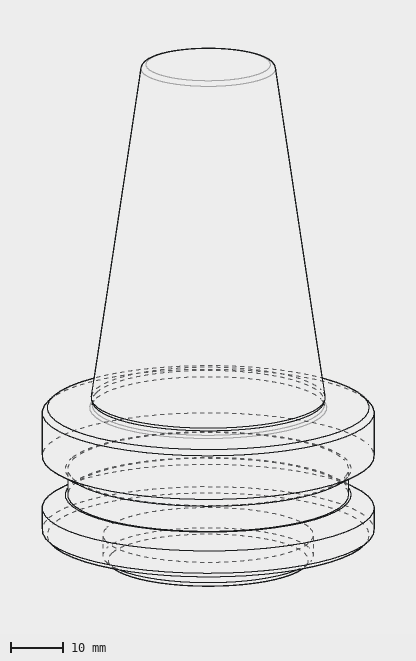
import cadquery as cq
import math

total_height = 97.4
edge_chamfer = 1.0
tip_fillet = 1.0

stub_radius = 20.0
stub_height = 5.0

flange_radius = 63.0 / 2
flange_top = 30.0
groove_center = 15.4
groove_depth = 4.9
groove_floor_width = 5.1
groove_shoulder = 0.5
groove_wall_angle = 30.0

gauge_height = 31.9
gauge_radius = 22.2
relief_top = 31.4
root_fillet = 0.5
relief_depth = 0.2

taper_ratio = 7 / 24

groove_floor_radius = flange_radius - groove_depth
wall_base_radius = groove_floor_radius + groove_shoulder
wall_height = (flange_radius - wall_base_radius) * math.tan(math.radians(groove_wall_angle))
floor_half = groove_floor_width / 2
mouth_half = floor_half + wall_height
relief_radius = gauge_radius - relief_depth


def taper_radius(height):
    """Radius of the taper cone at a given height."""
    return gauge_radius - (height - gauge_height) * taper_ratio / 2


stub_outline = [
    (0, 0),
    (stub_radius - edge_chamfer, 0),
    (stub_radius, edge_chamfer),
    (stub_radius, stub_height),
]
flange_outline = [
    (flange_radius - edge_chamfer, stub_height),
    (flange_radius, stub_height + edge_chamfer),
    (flange_radius, groove_center - mouth_half),
    (wall_base_radius, groove_center - floor_half),
    (groove_floor_radius, groove_center - floor_half),
    (groove_floor_radius, groove_center + floor_half),
    (wall_base_radius, groove_center + floor_half),
    (flange_radius, groove_center + mouth_half),
    (flange_radius, flange_top - edge_chamfer),
    (flange_radius - edge_chamfer, flange_top),
    (relief_radius + root_fillet, flange_top),
]
root_fillet_end = (relief_radius, flange_top + root_fillet)
taper_outline = [
    (relief_radius, relief_top),
    (gauge_radius, gauge_height),
    (taper_radius(total_height), total_height),
    (0, total_height),
]

body = (
    cq.Workplane("XZ")
    .polyline(stub_outline + flange_outline)
    .radiusArc(root_fillet_end, root_fillet)
    .polyline(taper_outline, includeCurrent=True)
    .close()
    .revolve(360, (0, 0, 0), (0, 1, 0))
)

result = body.faces(">Z").edges().fillet(tip_fillet)